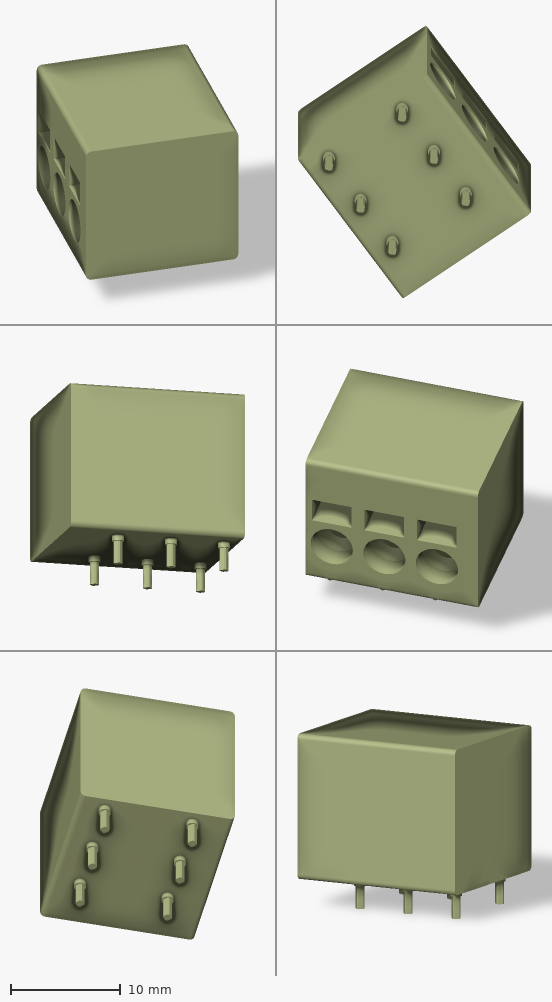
import cadquery as cq

LENGTH = 16.4
DEPTH = 14.4
HEIGHT = 13.5
EDGE_RADIUS = 0.5

POLE_COUNT = 3
POLE_PITCH = 5.0
FIRST_POLE_X = 2.51

ENTRY_Z = 4.1
ENTRY_DIAMETER = 4.0
ENTRY_DEPTH = 2.0
FLOOR_DIAMETER = 3.0
TAPER_DEPTH = 1.3

WINDOW_WIDTH = 3.75
WINDOW_HEIGHT = 2.4
WINDOW_DEPTH = ENTRY_DEPTH + TAPER_DEPTH
WINDOW_BOTTOM_Z = HEIGHT / 2

PIN_LENGTH = 2.6
COLLAR_DIAMETER = 1.1
COLLAR_HEIGHT = 0.51
SHANK_THICKNESS = 0.7
SHANK_CORNER_CUT = 0.13
FIRST_PIN_X = 1.3
FRONT_PIN_Y = 3.67
PIN_ROW_SPACING = 8.18

pole_offsets = [index * POLE_PITCH for index in range(POLE_COUNT)]


def make_block():
    """Block with its four edges along X rounded; the front face lies on Y = 0."""
    block = cq.Workplane("XY").box(LENGTH, DEPTH, HEIGHT, centered=False)
    return block.edges("|X").fillet(EDGE_RADIUS)


def make_wire_entry(center_x):
    """Blind bore with a tapered end, turned about an axis that runs along Y."""
    entry_radius = ENTRY_DIAMETER / 2
    floor_radius = FLOOR_DIAMETER / 2
    floor_depth = ENTRY_DEPTH + TAPER_DEPTH
    half_profile = (
        cq.Workplane("XY")
        .lineTo(entry_radius, 0)
        .lineTo(entry_radius, ENTRY_DEPTH)
        .lineTo(floor_radius, floor_depth)
        .lineTo(0, floor_depth)
        .close()
    )
    entry = half_profile.revolve(360, (0, 0, 0), (0, 1, 0))
    return entry.translate((center_x, 0, ENTRY_Z))


def make_window(center_x):
    """Blind rectangular pocket, open on the front face."""
    window = cq.Workplane("XY").box(
        WINDOW_WIDTH, WINDOW_DEPTH, WINDOW_HEIGHT, centered=(True, False, False)
    )
    return window.translate((center_x, 0, WINDOW_BOTTOM_Z))


def make_housing():
    housing = make_block()
    for offset in pole_offsets:
        pole_x = FIRST_POLE_X + offset
        housing = housing.cut(make_wire_entry(pole_x))
        housing = housing.cut(make_window(pole_x))
    return housing


def make_pin(x, y):
    """Pin with a collar touching the housing and a square shank turned by 45 degrees."""
    collar = cq.Workplane("XY").circle(COLLAR_DIAMETER / 2).extrude(-COLLAR_HEIGHT)
    shank = (
        cq.Workplane("XY")
        .rect(SHANK_THICKNESS, SHANK_THICKNESS)
        .extrude(-PIN_LENGTH)
        .edges("|Z")
        .chamfer(SHANK_CORNER_CUT)
        .rotate((0, 0, 0), (0, 0, 1), 45)
    )
    return collar.union(shank).translate((x, y, 0))


housing = make_housing()
pins = [
    make_pin(FIRST_PIN_X + offset, row_y)
    for row_y in (FRONT_PIN_Y, FRONT_PIN_Y + PIN_ROW_SPACING)
    for offset in pole_offsets
]

result = cq.Compound.makeCompound([housing.val(), *[pin.val() for pin in pins]])